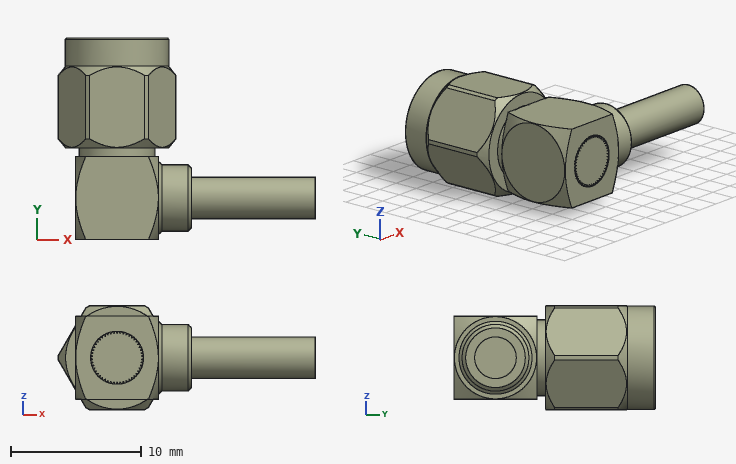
import cadquery as cq
import math


BLOCK_SIZE = 6.4
BLOCK_HALF = BLOCK_SIZE / 2
BLOCK_FACE_RADIUS = 3.15
BLOCK_CHAMFER_ANGLE = 30
BLOCK_CORNER_RADIUS = BLOCK_HALF * math.sqrt(2)
BLOCK_CORNER_SPREAD = BLOCK_CORNER_RADIUS - BLOCK_FACE_RADIUS
BLOCK_CORNER_DEPTH = BLOCK_CORNER_SPREAD * math.tan(math.radians(BLOCK_CHAMFER_ANGLE))

NECK_RADIUS = 2.92
NECK_LENGTH = 0.63

SLEEVE_RADIUS = 2.57
SLEEVE_LENGTH = 2.53
SLEEVE_FLARE = 0.24
SLEEVE_CHAMFER = 0.28
CABLE_RADIUS = 1.6
CABLE_LENGTH = 9.5

COVER_RADIUS = 2.03
COVER_DEPTH = 0.6
KNURL_COUNT = 50
KNURL_DEPTH = 0.15
KNURL_WIDTH = 0.18

NUT_FLATS = 8.0
NUT_SIDES = 6
NUT_CORNER_RADIUS = 4.52
NUT_HEX_LENGTH = 6.3
NUT_FACE_RADIUS = 3.95
NUT_CONE_DEPTH = 0.71
NUT_COLLAR_RADIUS = 3.99
NUT_COLLAR_LENGTH = 2.17
NUT_COLLAR_CHAMFER = 0.12
NUT_START = BLOCK_HALF + NECK_LENGTH


def rod_y(radius, start, length):
    """Cylinder along +Y, starting at Y = start."""
    return cq.Workplane("XZ", origin=(0, start, 0)).circle(radius).extrude(-length)


def make_block():
    """Cube whose corners are turned down to cones about the X axis."""
    cube = cq.Workplane("XY").box(BLOCK_SIZE, BLOCK_SIZE, BLOCK_SIZE)
    cone_start = BLOCK_HALF - BLOCK_CORNER_DEPTH
    turned = (
        cq.Workplane("XY")
        .moveTo(-BLOCK_HALF, 0)
        .lineTo(-BLOCK_HALF, BLOCK_FACE_RADIUS)
        .lineTo(-cone_start, BLOCK_CORNER_RADIUS)
        .lineTo(cone_start, BLOCK_CORNER_RADIUS)
        .lineTo(BLOCK_HALF, BLOCK_FACE_RADIUS)
        .lineTo(BLOCK_HALF, 0)
        .close()
        .revolve(360, (0, 0, 0), (1, 0, 0))
    )
    return cube.intersect(turned)


def make_cable_outlet():
    """Flared sleeve and cable, turned about the X axis."""
    sleeve_end = BLOCK_HALF + SLEEVE_LENGTH
    cable_end = sleeve_end + CABLE_LENGTH
    return (
        cq.Workplane("XY")
        .moveTo(0, 0)
        .lineTo(0, SLEEVE_RADIUS)
        .lineTo(BLOCK_HALF, SLEEVE_RADIUS)
        .lineTo(BLOCK_HALF, SLEEVE_RADIUS + SLEEVE_FLARE)
        .lineTo(BLOCK_HALF + SLEEVE_FLARE, SLEEVE_RADIUS)
        .lineTo(sleeve_end - SLEEVE_CHAMFER, SLEEVE_RADIUS)
        .lineTo(sleeve_end, SLEEVE_RADIUS - SLEEVE_CHAMFER)
        .lineTo(sleeve_end, CABLE_RADIUS)
        .lineTo(cable_end, CABLE_RADIUS)
        .lineTo(cable_end, 0)
        .close()
        .revolve(360, (0, 0, 0), (1, 0, 0))
    )


def make_elbow():
    """Block with its neck and cable outlet, recessed for the cover."""
    neck = rod_y(NECK_RADIUS, 0, NUT_START)
    cover_seat = rod_y(COVER_RADIUS, -BLOCK_HALF, COVER_DEPTH)
    return make_block().union(make_cable_outlet()).union(neck).cut(cover_seat)


def make_cover():
    """Disc with V grooves around its rim; the lands between them touch the wall of its seat."""
    disc = rod_y(COVER_RADIUS, -BLOCK_HALF, COVER_DEPTH)
    groove = (
        cq.Workplane("XZ", origin=(0, -BLOCK_HALF, 0))
        .moveTo(COVER_RADIUS - KNURL_DEPTH, 0)
        .lineTo(COVER_RADIUS + KNURL_DEPTH, KNURL_WIDTH)
        .lineTo(COVER_RADIUS + KNURL_DEPTH, -KNURL_WIDTH)
        .close()
        .extrude(-COVER_DEPTH)
    )
    pitch_angle = 360 / KNURL_COUNT
    for index in range(KNURL_COUNT):
        angle = (index + 0.5) * pitch_angle
        disc = disc.cut(groove.rotate((0, 0, 0), (0, 1, 0), angle))
    return disc


def make_nut():
    """Hexagon with conical ends, followed by a round collar."""
    hex_end = NUT_START + NUT_HEX_LENGTH
    hexagon = (
        cq.Workplane("XZ", origin=(0, NUT_START, 0))
        .polygon(NUT_SIDES, NUT_FLATS / math.cos(math.pi / NUT_SIDES))
        .extrude(-NUT_HEX_LENGTH)
    )
    turned = (
        cq.Workplane("XY")
        .moveTo(0, NUT_START)
        .lineTo(NUT_FACE_RADIUS, NUT_START)
        .lineTo(NUT_CORNER_RADIUS, NUT_START + NUT_CONE_DEPTH)
        .lineTo(NUT_CORNER_RADIUS, hex_end - NUT_CONE_DEPTH)
        .lineTo(NUT_FACE_RADIUS, hex_end)
        .lineTo(0, hex_end)
        .close()
        .revolve(360, (0, 0, 0), (0, 1, 0))
    )
    collar = rod_y(NUT_COLLAR_RADIUS, hex_end, NUT_COLLAR_LENGTH)
    collar = collar.faces(">Y").chamfer(NUT_COLLAR_CHAMFER)
    return hexagon.intersect(turned).union(collar)


elbow = make_elbow()
cover = make_cover()
nut = make_nut()

result = cq.Compound.makeCompound([elbow.val(), cover.val(), nut.val()])